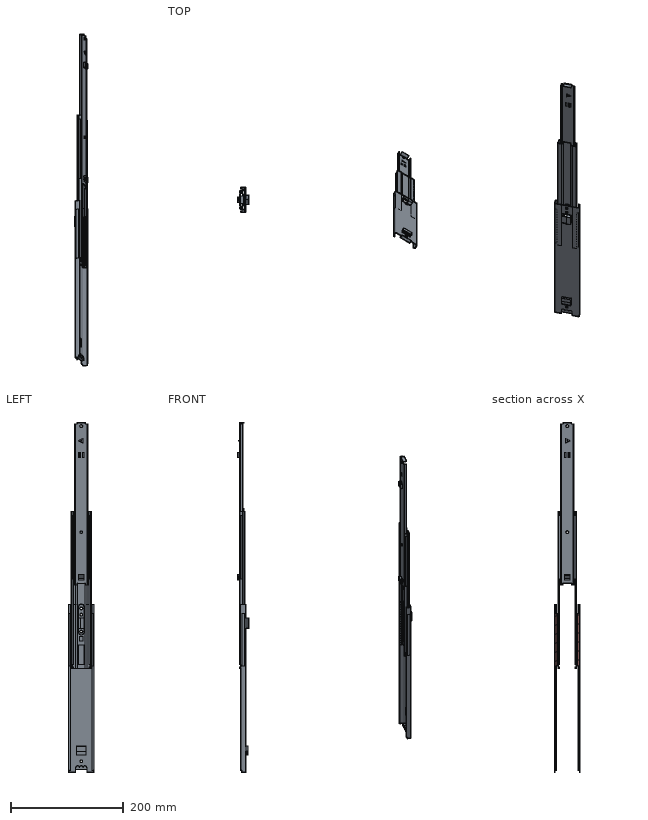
import cadquery as cq
import math


SHEET = 1.2
TOTAL_LENGTH = 625.0
HOOK_TIP = 20.19 / 2
HOOK_PLATE = 1.4
HOOK_ROOT = 1.2
SCREW_HOLE = 4.5

OUTER_LENGTH = 300.0
OUTER_HALF_WIDTH = 45.7 / 2
OUTER_BACK = 4.6
OUTER_FRONT = -4.6
OUTER_LIP_EDGE = 19.4
OUTER_LIP_CUT = 3.5

MIDDLE_BOTTOM = 185.5
MIDDLE_TOP = 466.0
MIDDLE_TAB = 5.0
MIDDLE_HALF_WIDTH = 17.9
MIDDLE_BACK = 3.0
MIDDLE_FRONT = -6.3
MIDDLE_LIP_EDGE = 13.5
RACE_STEP = 1.0
RACE_HALF_LENGTH = 1.0
RIB_OFFSET = 1.5
RIB_HALF_WIDTH = 6.6
RIB_FOOT = 10.0

INNER_BOTTOM = 335.0
INNER_HALF_WIDTH = 12.4
INNER_FRONT = MIDDLE_FRONT
INNER_BACK = -0.7
INNER_BEVEL_Y = 2.2
INNER_BEVEL_X = 0.6
INNER_TAB_HEIGHT = 3.0
INNER_TAB_WIDTH = 14.5
INNER_TAB_BACK = 1.0


def box(x_range, y_range, z_range):
    """Axis-parallel block from its limits."""
    (x0, x1), (y0, y1), (z0, z1) = x_range, y_range, z_range
    return cq.Workplane("XY").box(x1 - x0, y1 - y0, z1 - z0, centered=False).translate((x0, y0, z0))


def hole(x_face, y, z):
    """Cutter for a round hole through the sheet whose -X face is at x_face."""
    start = cq.Workplane("YZ", origin=(x_face, y, z))
    return start.circle(SCREW_HOLE / 2).extrude(SHEET)


def round_corner(wire, start, end, centre):
    """Add a line to start, then a quarter arc about centre to end."""
    corner = (start[0] + end[0] - centre[0], start[1] + end[1] - centre[1])
    reach = math.dist(start, centre) / math.dist(corner, centre)
    middle = (centre[0] + reach * (corner[0] - centre[0]), centre[1] + reach * (corner[1] - centre[1]))
    return wire.lineTo(*start).threePointArc(middle, end)


def rail(half_section, z_range):
    """Extrude a closed half section (Y >= 0) and its mirror image into one rail."""
    half = half_section.close().extrude(z_range[1] - z_range[0])
    whole = half.union(half.mirror("XZ"))
    return whole.translate((0, 0, z_range[0]))


def hook_layers(web_face, tip_x):
    """X ranges of a hook's arm, of its free plate and of the web sheet behind it."""
    side = math.copysign(1, tip_x)
    arm_x = sorted((web_face, tip_x))
    plate_x = sorted((tip_x - side * HOOK_PLATE, tip_x))
    sheet_x = sorted((web_face - side * SHEET, web_face))
    return arm_x, plate_x, sheet_x


def add_hanging_hook(body, web_face, tip_x, half_width, z_range, z_arm):
    """Open the web and add a hook with its arm above z_arm and its free plate hanging down."""
    arm_x, plate_x, sheet_x = hook_layers(web_face, tip_x)
    z_low, z_high = z_range
    widths = (-half_width, half_width)
    arm = box(arm_x, widths, (z_arm, z_high))
    plate = box(plate_x, widths, (z_low, z_arm))
    opening = box(sheet_x, widths, (z_low, z_high - HOOK_ROOT))
    return body.cut(opening).union(arm.union(plate))


def add_sideways_hook(body, web_face, tip_x, half_width, z_range, y_arm, y_free):
    """Open the web and add a hook with its arm beyond Y = y_arm and its free plate ending at y_free."""
    arm_x, plate_x, sheet_x = hook_layers(web_face, tip_x)
    arm = box(arm_x, (y_arm, half_width), z_range)
    plate = box(plate_x, (y_free, y_arm), z_range)
    opening = box(sheet_x, (y_free, half_width - HOOK_ROOT), z_range)
    return body.cut(opening).union(arm.union(plate))


OUTER_WEB = OUTER_BACK - SHEET
OUTER_RADIUS = 1.8
OUTER_HOLE_HEIGHTS = (292.7, 281.6, 251.5, 20.0)
REAR_HOOK_HALF_WIDTH = 8.5
REAR_TOP_HOOK_Z = (257.0, 275.8)
REAR_TOP_HOOK_ARM_Y = 1.0
REAR_LOW_HOOK_Z = (31.0, 47.5)
REAR_LOW_HOOK_TIP = 8.5
REAR_LOW_HOOK_ARM_Z = 37.5
NOTCH_HALF_WIDTH = 10.0
NOTCH_HEIGHT = 9.0
STOP_FRONT = -1.0
STOP_BOTTOM = 5.0
STOP_LOBE_RADIUS = 3.0
STOP_LOBE_PITCH = 6.5


def outer_section():
    bend_y = OUTER_HALF_WIDTH - OUTER_RADIUS
    back_x = OUTER_BACK - OUTER_RADIUS
    front_x = OUTER_FRONT + OUTER_RADIUS
    flange_y = OUTER_HALF_WIDTH - SHEET
    lip_x = OUTER_FRONT + SHEET
    wire = cq.Workplane("XY").moveTo(OUTER_BACK, 0)
    wire = round_corner(wire, (OUTER_BACK, bend_y), (back_x, OUTER_HALF_WIDTH), (back_x, bend_y))
    wire = round_corner(wire, (front_x, OUTER_HALF_WIDTH), (OUTER_FRONT, bend_y), (front_x, bend_y))
    wire = wire.lineTo(OUTER_FRONT, OUTER_LIP_EDGE).lineTo(lip_x, OUTER_LIP_EDGE)
    wire = round_corner(wire, (lip_x, bend_y), (front_x, flange_y), (front_x, bend_y))
    wire = round_corner(wire, (back_x, flange_y), (OUTER_WEB, bend_y), (back_x, bend_y))
    return wire.lineTo(OUTER_WEB, 0)


def end_stop():
    """Three-lobed stop on the web, filling the top of the bottom notch."""
    stop_x = (STOP_FRONT, OUTER_BACK)
    stop = box(stop_x, (-NOTCH_HALF_WIDTH, NOTCH_HALF_WIDTH), (STOP_BOTTOM, NOTCH_HEIGHT))
    lobes = (
        cq.Workplane("YZ", origin=(STOP_FRONT, 0, NOTCH_HEIGHT))
        .rarray(STOP_LOBE_PITCH, 1, 3, 1)
        .circle(STOP_LOBE_RADIUS)
        .extrude(OUTER_BACK - STOP_FRONT)
    )
    return stop.union(lobes)


def make_outer_rail():
    body = rail(outer_section(), (0, OUTER_LENGTH))
    full_width = (-OUTER_HALF_WIDTH, OUTER_HALF_WIDTH)
    body = body.cut(box((OUTER_FRONT, OUTER_FRONT + OUTER_RADIUS), full_width, (0, OUTER_LIP_CUT)))
    notch_y = (-NOTCH_HALF_WIDTH, NOTCH_HALF_WIDTH)
    body = body.cut(box((OUTER_WEB, OUTER_BACK), notch_y, (0, NOTCH_HEIGHT)))
    body = body.union(end_stop())
    body = add_sideways_hook(
        body,
        OUTER_BACK,
        HOOK_TIP,
        REAR_HOOK_HALF_WIDTH,
        REAR_TOP_HOOK_Z,
        REAR_TOP_HOOK_ARM_Y,
        -REAR_HOOK_HALF_WIDTH,
    )
    body = add_hanging_hook(
        body, OUTER_BACK, REAR_LOW_HOOK_TIP, REAR_HOOK_HALF_WIDTH, REAR_LOW_HOOK_Z, REAR_LOW_HOOK_ARM_Z
    )
    for height in OUTER_HOLE_HEIGHTS:
        body = body.cut(hole(OUTER_WEB, 0, height))
    return body


MIDDLE_WEB = MIDDLE_BACK - SHEET
RIB_BACK = MIDDLE_BACK - RIB_OFFSET
RIB_FRONT = RIB_BACK - SHEET
MIDDLE_RADIUS = 1.8
RACE_Y = MIDDLE_HALF_WIDTH - RACE_STEP
MIDDLE_SLOT_WIDTH = 9.2
UPPER_SLOT_Z = (245.5, 300.5)
LOWER_SLOT_Z = (192.5, 227.5)
SMALL_WINDOW_HALF_WIDTH = 2.8
SMALL_WINDOW_Z = (234.5, 242.5)
LIP_NOTCH_Z = (188.0, 192.5)


def middle_section():
    bend_y = MIDDLE_HALF_WIDTH - MIDDLE_RADIUS
    back_x = MIDDLE_BACK - MIDDLE_RADIUS
    front_x = MIDDLE_FRONT + MIDDLE_RADIUS
    lip_bend_y = RACE_Y - MIDDLE_RADIUS
    lip_x = MIDDLE_FRONT + SHEET
    wire = cq.Workplane("XY").moveTo(RIB_BACK, 0)
    wire = wire.lineTo(RIB_BACK, RIB_HALF_WIDTH).lineTo(MIDDLE_BACK, RIB_FOOT)
    wire = round_corner(wire, (MIDDLE_BACK, bend_y), (back_x, MIDDLE_HALF_WIDTH), (back_x, bend_y))
    wire = wire.lineTo(RACE_HALF_LENGTH, MIDDLE_HALF_WIDTH).lineTo(-RACE_HALF_LENGTH, RACE_Y)
    wire = round_corner(wire, (front_x, RACE_Y), (MIDDLE_FRONT, lip_bend_y), (front_x, lip_bend_y))
    wire = wire.lineTo(MIDDLE_FRONT, MIDDLE_LIP_EDGE).lineTo(lip_x, MIDDLE_LIP_EDGE)
    wire = round_corner(wire, (lip_x, lip_bend_y), (front_x, RACE_Y - SHEET), (front_x, lip_bend_y))
    wire = wire.lineTo(-RACE_HALF_LENGTH, RACE_Y - SHEET)
    wire = wire.lineTo(RACE_HALF_LENGTH, MIDDLE_HALF_WIDTH - SHEET)
    wire = round_corner(wire, (back_x, MIDDLE_HALF_WIDTH - SHEET), (MIDDLE_WEB, bend_y), (back_x, bend_y))
    wire = wire.lineTo(MIDDLE_WEB, RIB_FOOT).lineTo(RIB_FRONT, RIB_HALF_WIDTH)
    return wire.lineTo(RIB_FRONT, 0)


def make_middle_rail():
    body = rail(middle_section(), (MIDDLE_BOTTOM, MIDDLE_TOP))
    tab_y = (-RIB_HALF_WIDTH, RIB_HALF_WIDTH)
    body = body.union(box((RIB_FRONT, RIB_BACK), tab_y, (MIDDLE_TOP, MIDDLE_TOP + MIDDLE_TAB)))

    upper_slot = (
        cq.Workplane("YZ", origin=(RIB_FRONT, 0, sum(UPPER_SLOT_Z) / 2))
        .slot2D(UPPER_SLOT_Z[1] - UPPER_SLOT_Z[0], MIDDLE_SLOT_WIDTH, 90)
        .extrude(SHEET)
    )
    lower_slot = box(
        (RIB_FRONT, RIB_BACK), (-MIDDLE_SLOT_WIDTH / 2, MIDDLE_SLOT_WIDTH / 2), LOWER_SLOT_Z
    )
    window_y = (-SMALL_WINDOW_HALF_WIDTH, SMALL_WINDOW_HALF_WIDTH)
    small_window = box((RIB_FRONT, RIB_BACK), window_y, SMALL_WINDOW_Z)
    full_width = (-MIDDLE_HALF_WIDTH, MIDDLE_HALF_WIDTH)
    lip_notch = box((MIDDLE_FRONT, MIDDLE_FRONT + MIDDLE_RADIUS), full_width, LIP_NOTCH_Z)
    return body.cut(upper_slot).cut(lower_slot).cut(small_window).cut(lip_notch)


INNER_WEB_BACK = INNER_FRONT + SHEET
INNER_FLANGE_TOP = TOTAL_LENGTH - INNER_TAB_HEIGHT
INNER_HOLE_HEIGHTS = (618.3, 429.0)
INNER_NOTCH_HEIGHT = 2.5
INNER_NOTCH_HALF_WIDTH = 8.0
FRONT_HOOK_HALF_WIDTH = 5.0
FRONT_TOP_HOOK_Z = (562.0, 571.5)
FRONT_TOP_HOOK_ARM_Y = 3.5
FRONT_TOP_HOOK_FREE_Y = 0.9
FRONT_LOW_HOOK_Z = (347.4, 353.5)
FRONT_LOW_HOOK_ARM_Z = 350.5
FRONT_TOP_LUG_EDGE = -2.0
FRONT_LOW_LUG_Z = (343.6, 346.0)
MARK_HEIGHT = 592.0
MARK_TIP_Y = 5.0
MARK_BASE_Y = -2.8
MARK_HALF_BASE = 4.0
MARK_RISE = 0.3
PIN_RADIUS = 0.8
PIN_TIP = -8.2


def inner_section():
    bevel_start = INNER_HALF_WIDTH - INNER_BEVEL_Y
    flange_y = INNER_HALF_WIDTH - SHEET
    return (
        cq.Workplane("XY")
        .moveTo(INNER_FRONT, 0)
        .lineTo(INNER_FRONT, bevel_start)
        .lineTo(INNER_FRONT + INNER_BEVEL_X, INNER_HALF_WIDTH)
        .lineTo(INNER_BACK, INNER_HALF_WIDTH)
        .lineTo(INNER_BACK, flange_y)
        .lineTo(INNER_WEB_BACK + INNER_BEVEL_X, flange_y)
        .lineTo(INNER_WEB_BACK, bevel_start)
        .lineTo(INNER_WEB_BACK, 0)
    )


def arrow_mark():
    """Low triangular mark pointing to +Y, with a small pin in its middle."""
    triangle = (
        cq.Workplane("YZ", origin=(INNER_FRONT - MARK_RISE, 0, MARK_HEIGHT))
        .polyline([(MARK_TIP_Y, 0), (MARK_BASE_Y, MARK_HALF_BASE), (MARK_BASE_Y, -MARK_HALF_BASE)])
        .close()
        .extrude(MARK_RISE)
    )
    pin_start = cq.Workplane("YZ", origin=(PIN_TIP, 0, MARK_HEIGHT))
    pin = pin_start.circle(PIN_RADIUS).extrude(INNER_FRONT - PIN_TIP)
    return triangle.union(pin)


def make_inner_rail():
    body = rail(inner_section(), (INNER_BOTTOM, INNER_FLANGE_TOP))
    tab_y = (-INNER_TAB_WIDTH / 2, INNER_TAB_WIDTH / 2)
    body = body.union(box((INNER_FRONT, INNER_WEB_BACK), tab_y, (INNER_FLANGE_TOP, TOTAL_LENGTH)))
    body = body.union(box((INNER_FRONT, INNER_TAB_BACK), tab_y, (TOTAL_LENGTH - SHEET, TOTAL_LENGTH)))
    body = add_sideways_hook(
        body,
        INNER_FRONT,
        -HOOK_TIP,
        FRONT_HOOK_HALF_WIDTH,
        FRONT_TOP_HOOK_Z,
        FRONT_TOP_HOOK_ARM_Y,
        FRONT_TOP_HOOK_FREE_Y,
    )
    body = add_hanging_hook(
        body, INNER_FRONT, -HOOK_TIP, FRONT_HOOK_HALF_WIDTH, FRONT_LOW_HOOK_Z, FRONT_LOW_HOOK_ARM_Z
    )
    lug_x = (-HOOK_TIP, INNER_FRONT)
    top_lug_y = (-FRONT_HOOK_HALF_WIDTH, FRONT_TOP_LUG_EDGE)
    low_lug_y = (-FRONT_HOOK_HALF_WIDTH, FRONT_HOOK_HALF_WIDTH)
    body = body.union(box(lug_x, top_lug_y, FRONT_TOP_HOOK_Z))
    body = body.union(box(lug_x, low_lug_y, FRONT_LOW_LUG_Z))
    bottom_notch_z = (INNER_BOTTOM, INNER_BOTTOM + INNER_NOTCH_HEIGHT)
    bottom_notch_y = (-INNER_NOTCH_HALF_WIDTH, INNER_NOTCH_HALF_WIDTH)
    body = body.cut(box((INNER_FRONT, INNER_WEB_BACK), bottom_notch_y, bottom_notch_z))
    for height in INNER_HOLE_HEIGHTS:
        body = body.cut(hole(INNER_FRONT, 0, height))
    return body.union(arrow_mark())


OUTER_RETAINER_X = (-2.4, 2.4)
OUTER_RETAINER_Y = (MIDDLE_HALF_WIDTH, OUTER_HALF_WIDTH - SHEET)
OUTER_RETAINER_Z = (190.0, 284.0)
INNER_RETAINER_X = (-4.0, -1.2)
INNER_RETAINER_Y = (INNER_HALF_WIDTH, RACE_Y - SHEET)
INNER_RETAINER_Z = (345.0, 459.0)


def make_retainers(x_range, y_range, z_range):
    """Retainer strip on the +Y side and its mirror image on the -Y side."""
    strip = box(x_range, y_range, z_range)
    return [strip, strip.mirror("XZ")]


outer_rail = make_outer_rail()
middle_rail = make_middle_rail()
inner_rail = make_inner_rail()
retainers = []
for limits in (
    (OUTER_RETAINER_X, OUTER_RETAINER_Y, OUTER_RETAINER_Z),
    (INNER_RETAINER_X, INNER_RETAINER_Y, INNER_RETAINER_Z),
):
    retainers += make_retainers(*limits)

rails = [outer_rail, middle_rail, inner_rail]
result = cq.Compound.makeCompound([body.val() for body in rails + retainers])